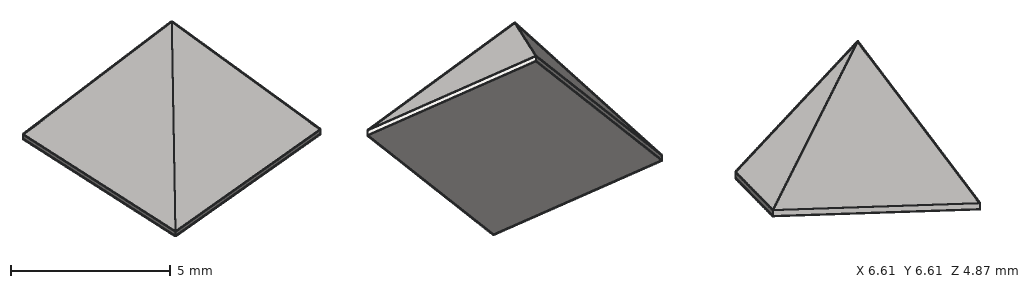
import cadquery as cq
import math

side = 6.61
plate_thickness = 0.2
pyramid_height = side / math.sqrt(2)

half_side = side / 2
total_height = plate_thickness + pyramid_height


def gable_prism(plane):
    """House-shaped outline on an upright plane, extruded over the full side."""
    outline = [
        (-half_side, 0),
        (half_side, 0),
        (half_side, plate_thickness),
        (0, total_height),
        (-half_side, plate_thickness),
    ]
    return cq.Workplane(plane).polyline(outline).close().extrude(half_side, both=True)


result = gable_prism("XZ").intersect(gable_prism("YZ"))